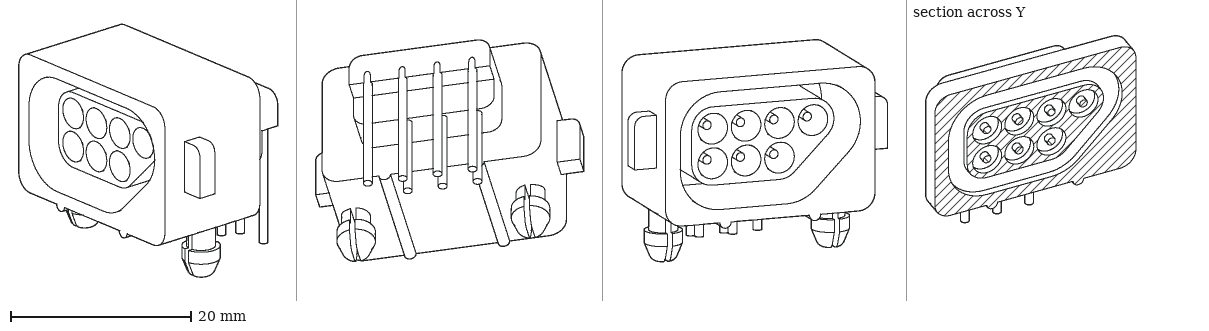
import cadquery as cq


pitch = 3.95
columns_top = 4
columns_bottom = 3
first_column_x = -pitch * (columns_top - 1) / 2

overall_width = 29.95
shell_width = 24.8
shell_height = 16.47
shell_depth = 13.93
shell_corner_radius = 1.98
mid_z = shell_height / 2
row_top_z = mid_z + pitch / 2
row_bottom_z = mid_z - pitch / 2

socket_margin = 4.73
plug_margin = 2.5
plug_recess = 2.4
contact_hole_diameter = 3.5
back_wall = shell_height - row_top_z - socket_margin
socket_floor_y = shell_depth - back_wall

rear_margin = 2.05
rear_width = pitch * (columns_top - 1) + 2 * rear_margin
rear_height = pitch + 2 * rear_margin
rear_corner_radius = 1.53
rear_upper_y = 20.4
rear_lower_y = 18.05

tab_front_y = 2.9
tab_thickness = 2.2
tab_bottom_z = 6.15
tab_height = 6.02
tab_corner_radius = 1.08

rib_x = 5.3
rib_radius = 0.65

leg_x = 9.88
leg_y = 7.5
leg_shaft_diameter = 3.23
leg_head_diameter = 4.28
leg_tip_diameter = 2.6
leg_root_z = 1.35
leg_head_top_z = -2.1
leg_cone_top_z = -3.53
leg_tip_z = -5.6
leg_tip_radius = 1.0
leg_slot_width = 0.63

pin_diameter = 1.0
pin_bend_radius = 1.05
pin_tip_recess = 1.8
pin_tip_y = plug_recess + pin_tip_recess
pin_rear_y = 20.55
pin_top_tail_y = pin_rear_y - pin_diameter / 2
pin_bottom_tail_y = 17.3
pin_top_tail_z = -6.15
pin_bottom_tail_z = -5.65


def row_points(columns, z):
    """Contact positions (x, z) of one row."""
    return [(first_column_x + i * pitch, z) for i in range(columns)]


top_row = row_points(columns_top, row_top_z)
bottom_row = row_points(columns_bottom, row_bottom_z)


def upright_plane(y):
    """XZ plane at depth y, facing -Y, so a negative extrusion runs rearward."""
    return cq.Workplane("XZ", origin=(0, y, 0))


def rounded_block(width, height, z_center, y_start, y_end, radius):
    """Rectangular block along Y, with its four long edges rounded."""
    return (
        upright_plane(y_start)
        .center(0, z_center)
        .rect(width, height)
        .extrude(y_start - y_end)
        .edges("|Y")
        .fillet(radius)
    )


def grid_prism(margin, y_start, y_end):
    """Prism along Y whose outline runs around the contact grid at a constant margin."""
    corners = [top_row[0], top_row[-1], bottom_row[-1], bottom_row[0]]
    return upright_plane(y_start).polyline(corners).close().offset2D(margin).extrude(y_start - y_end)


def make_socket():
    """Ring-shaped pocket around the plug, plus the contact holes in the plug."""
    cavity = grid_prism(socket_margin, 0, socket_floor_y)
    plug = grid_prism(plug_margin, plug_recess, socket_floor_y)
    holes = (
        upright_plane(plug_recess)
        .pushPoints(top_row + bottom_row)
        .circle(contact_hole_diameter / 2)
        .extrude(plug_recess - socket_floor_y)
    )
    return cavity.cut(plug).union(holes)


def make_rear_block():
    """Block behind the shell; its lower half stops short so the upper-row pins can drop behind it."""
    block = rounded_block(rear_width, rear_height, mid_z, shell_depth, rear_upper_y, rear_corner_radius)
    step = cq.Workplane().box(
        rear_width, rear_upper_y - rear_lower_y, rear_height, centered=(True, False, False)
    ).translate((0, rear_lower_y, mid_z - rear_height))
    return block.cut(step)


def make_tabs():
    """Tabs on both sides of the shell, made from one bar whose middle lies inside the shell."""
    bar = cq.Workplane().box(overall_width, tab_thickness, tab_height, centered=(True, False, False))
    bar = bar.edges("|Y and >Z").fillet(tab_corner_radius)
    shell_gap = cq.Workplane().box(
        shell_width, tab_thickness, tab_height, centered=(True, False, False)
    )
    return bar.cut(shell_gap).translate((0, tab_front_y, tab_bottom_z))


def make_rib(x):
    """Half-round standoff rib along the underside."""
    rib = upright_plane(0).center(x, 0).circle(rib_radius).extrude(-shell_depth)
    upper_half = cq.Workplane().box(
        2 * rib_radius, shell_depth, rib_radius, centered=(True, False, False)
    ).translate((x, 0, 0))
    return rib.cut(upper_half)


def make_leg(x):
    """Snap leg: shaft, barbed head with a rounded tip, and a slot that splits it below the shell."""
    shaft_radius = leg_shaft_diameter / 2
    head_radius = leg_head_diameter / 2
    profile = [
        (0, leg_root_z),
        (shaft_radius, leg_root_z),
        (shaft_radius, leg_head_top_z),
        (head_radius, leg_head_top_z),
        (head_radius, leg_cone_top_z),
        (leg_tip_diameter / 2, leg_tip_z),
        (0, leg_tip_z),
    ]
    leg = cq.Workplane("XZ").polyline(profile).close().revolve(360, (0, 0, 0), (0, 1, 0))
    leg = leg.faces("<Z").edges().fillet(leg_tip_radius)
    slot = cq.Workplane().box(
        leg_slot_width, leg_head_diameter, -leg_tip_z, centered=(True, True, False)
    ).translate((0, 0, leg_tip_z))
    return leg.cut(slot).translate((x, leg_y, 0))


def make_pin(x, row_z, tail_y, tail_z):
    """Round right-angle pin: straight contact, bend, and tail pointing down."""
    bend_start_y = tail_y - pin_bend_radius
    path = (
        cq.Workplane("YZ", origin=(x, 0, 0))
        .moveTo(pin_tip_y, row_z)
        .lineTo(bend_start_y, row_z)
        .tangentArcPoint((tail_y, row_z - pin_bend_radius), relative=False)
        .lineTo(tail_y, tail_z)
    )
    return upright_plane(pin_tip_y).center(x, row_z).circle(pin_diameter / 2).sweep(path)


def make_housing(pins):
    """Moulded housing with a matching passage for every pin."""
    housing = rounded_block(shell_width, shell_height, mid_z, 0, shell_depth, shell_corner_radius)
    for side in (-1, 1):
        housing = housing.union(make_leg(side * leg_x))
        housing = housing.union(make_rib(side * rib_x))
    housing = housing.union(make_tabs()).union(make_rear_block())
    housing = housing.cut(make_socket())
    for pin in pins:
        housing = housing.cut(pin)
    return housing


pins = [make_pin(x, z, pin_top_tail_y, pin_top_tail_z) for x, z in top_row]
pins += [make_pin(x, z, pin_bottom_tail_y, pin_bottom_tail_z) for x, z in bottom_row]
housing = make_housing(pins)

result = cq.Compound.makeCompound([housing.solids().val(), *[pin.solids().val() for pin in pins]])